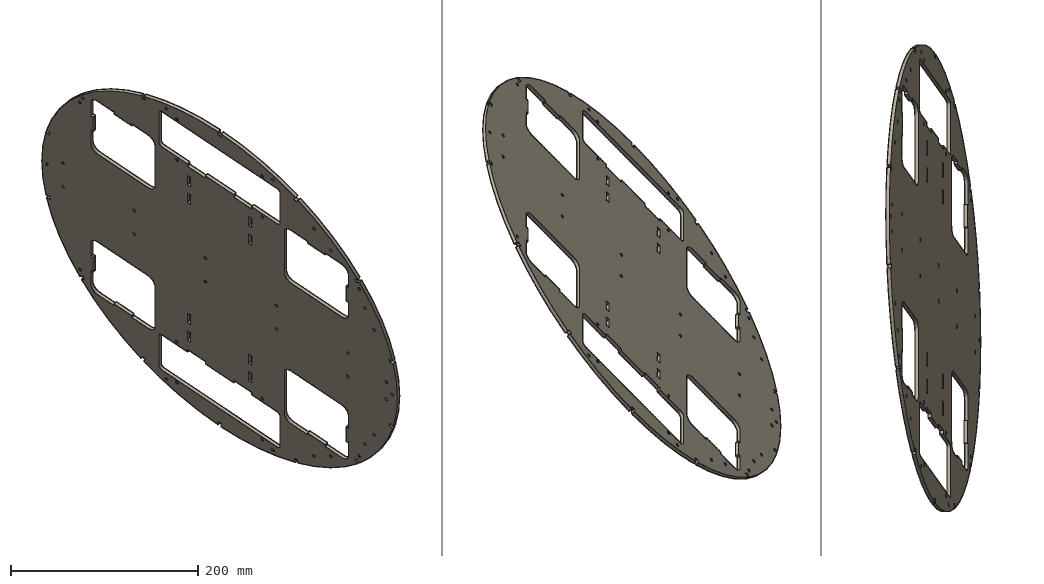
import cadquery as cq
import math

disc_diameter = 500.0
thickness = 4.0
disc_radius = disc_diameter / 2

notch_count = 14
notch_width = 4.0
notch_depth = 5.0

window_size = 90.0
window_center_x = 136.0
window_center_z = 120.0
window_corner_radius = 10.0
window_tab_length = 25.0
window_tab_depth = 3.0

opening_width = 170.0
opening_inner_z = 160.5
opening_outer_z = 220.5
opening_corner_radius = 4.5
recess_center_x = 32.5
recess_width = 25.0
recess_depth = 4.0

slot_center_x = 43.0
slot_centers_z = (102.5, 132.5)
slot_width = 4.0
slot_length = 15.0

hole_diameter = 3.5
rim_hole_count = 10
rim_hole_radius = 242.5
side_hole_radius = 235.0
side_hole_pitch = 26.0
side_hole_half_spread = 3.6
grid_first_x = -220.0
grid_pitch_x = 100.0
grid_columns = 5
grid_z = 20.0
opening_hole_x = 60.0
inner_hole_z = 155.0
outer_hole_z = 225.0

SIDES = (-1, 1)
QUADRANTS = [(side_x, side_z) for side_x in SIDES for side_z in SIDES]


def plate(width, height, center_x, center_z):
    """Rectangular block through the full thickness of the disc."""
    return cq.Workplane("XY").box(width, thickness, height).translate((center_x, 0, center_z))


def polar_point(radius, angle):
    """Point (x, z) at an angle in degrees from +X towards +Z."""
    return radius * math.cos(math.radians(angle)), radius * math.sin(math.radians(angle))


def rim_notches():
    notch = plate(notch_width, 2 * notch_depth, 0, disc_radius)
    cutters = cq.Workplane("XY")
    for index in range(notch_count):
        cutters = cutters.add(notch.rotate((0, 0, 0), (0, 1, 0), index * 360 / notch_count))
    return cutters.combine()


def window(side_x, side_z):
    center_x = side_x * window_center_x
    center_z = side_z * window_center_z
    outer_x = center_x + side_x * (window_size - window_tab_depth) / 2
    outer_z = center_z + side_z * (window_size - window_tab_depth) / 2
    cutter = plate(window_size, window_size, center_x, center_z).edges("|Y").fillet(window_corner_radius)
    cutter = cutter.cut(plate(window_tab_depth, window_tab_length, outer_x, center_z))
    return cutter.cut(plate(window_tab_length, window_tab_depth, center_x, outer_z))


def wide_opening(side_z):
    height = opening_outer_z - opening_inner_z
    center_z = side_z * (opening_inner_z + opening_outer_z) / 2
    cutter = plate(opening_width, height, 0, center_z).edges("|Y").fillet(opening_corner_radius)
    for side_x in SIDES:
        recess = plate(recess_width, 2 * recess_depth, side_x * recess_center_x, side_z * opening_inner_z)
        cutter = cutter.union(recess)
    return cutter


def hole_points():
    points = [polar_point(rim_hole_radius, index * 360 / rim_hole_count) for index in range(rim_hole_count)]

    for pair in range(-2, 3):
        for side in SIDES:
            angle = pair * side_hole_pitch + side * side_hole_half_spread
            points.append(polar_point(side_hole_radius, angle))

    for column in range(grid_columns):
        for side_z in SIDES:
            points.append((grid_first_x + column * grid_pitch_x, side_z * grid_z))

    for side_x, side_z in QUADRANTS:
        for hole_z in (inner_hole_z, outer_hole_z):
            points.append((side_x * opening_hole_x, side_z * hole_z))
    return points


result = cq.Workplane("XZ").circle(disc_radius).extrude(thickness / 2, both=True)
result = result.cut(rim_notches())

for side_x, side_z in QUADRANTS:
    result = result.cut(window(side_x, side_z))
    for slot_center_z in slot_centers_z:
        result = result.cut(plate(slot_width, slot_length, side_x * slot_center_x, side_z * slot_center_z))

for side_z in SIDES:
    result = result.cut(wide_opening(side_z))

holes = cq.Workplane("XZ").pushPoints(hole_points()).circle(hole_diameter / 2).extrude(thickness, both=True)
result = result.cut(holes)